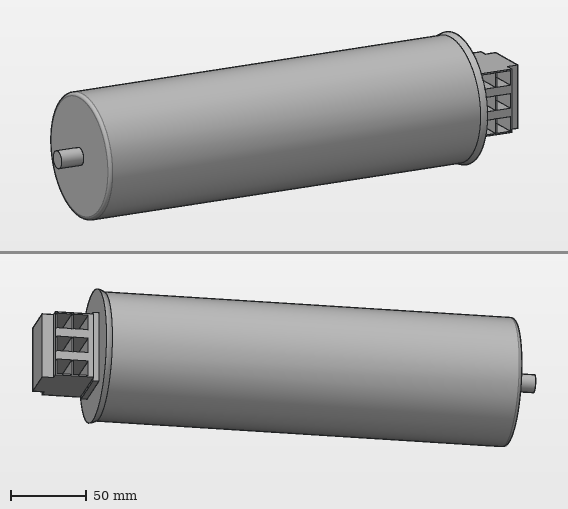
import cadquery as cq

total_length = 336.5
can_diameter = 86.0
rim_diameter = 89.5

stud_length = 16.5
base_plate_thickness = 4.0
block_length = 33.5
can_length = total_length - stud_length - base_plate_thickness - block_length

stud_diameter = 12.0
base_fillet = 2.5
rim_height = 4.5
rim_bulge = 0.3

block_width = 44.0
block_height = 44.0
tongue_width = 31.5
tongue_length = 7.7
plate_width = 39.7
plate_height = 47.8

window_columns = 2
window_rows = 3
window_wall = 1.0
window_length = 10.0
window_height = 10.0

can_top = can_length
plate_top = can_top + base_plate_thickness
block_top = plate_top + block_length
tongue_start = block_top - tongue_length


def box_along_y(width, height, y_start, y_end):
    """Box centred on the Y axis between two stations."""
    length = y_end - y_start
    return cq.Workplane("XY").box(width, length, height).translate((0, y_start + length / 2, 0))


def make_can():
    """Turned can with a rounded base edge and a bulging rim that widens towards the top."""
    can_radius = can_diameter / 2
    rim_radius = rim_diameter / 2
    rim_mid_radius = (can_radius + rim_radius) / 2 + rim_bulge
    rim_start = can_top - rim_height
    profile = (
        cq.Workplane("XY")
        .lineTo(can_radius - base_fillet, 0)
        .radiusArc((can_radius, base_fillet), -base_fillet)
        .lineTo(can_radius, rim_start)
        .threePointArc((rim_mid_radius, rim_start + rim_height / 2), (rim_radius, can_top))
        .lineTo(0, can_top)
        .close()
    )
    return profile.revolve(360, (0, 0, 0), (0, 1, 0))


def make_stud():
    """Mounting stud standing out from the base of the can."""
    return cq.Workplane("XZ").circle(stud_diameter / 2).extrude(stud_length)


def make_terminal_block():
    """Block with a narrower tongue at its end, on a thin plate."""
    plate = box_along_y(plate_width, plate_height, can_top, plate_top)
    body = box_along_y(block_width, block_height, plate_top, tongue_start)
    tongue = box_along_y(tongue_width, block_height, tongue_start, block_top)
    return plate.union(body).union(tongue)


def make_windows():
    """Grid of rectangular windows, the outer ones one wall away from the block faces."""
    column_pitch = window_length + window_wall
    row_pitch = block_height / 2 - window_wall - window_height / 2
    first_column = tongue_start - window_wall - window_length / 2
    centres = [
        (first_column - column * column_pitch, (row - (window_rows - 1) / 2) * row_pitch)
        for column in range(window_columns)
        for row in range(window_rows)
    ]
    return (
        cq.Workplane("YZ")
        .pushPoints(centres)
        .rect(window_length, window_height)
        .extrude(block_width, both=True)
    )


terminal_block = make_terminal_block().cut(make_windows())
result = make_can().union(make_stud()).union(terminal_block)